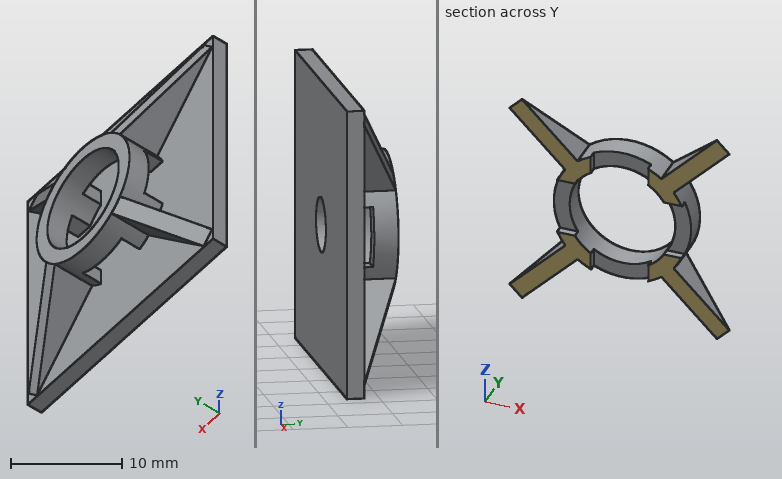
import cadquery as cq
import math

side = 26.5
depth = 5.9
plate_thickness = 1.6
hole_diameter = 5.0
collar_diameter = 13.28
bore_diameter = 10.2
window_width = 5.5
window_depth = 2.1
rib_thickness = 1.72
rib_reach = 17.7

collar_height = depth - plate_thickness
collar_radius = collar_diameter / 2
half_rib = rib_thickness / 2


def cylinder_along_y(diameter, start, length):
    plane = cq.Workplane("XZ", origin=(0, start, 0))
    return plane.circle(diameter / 2).extrude(-length)


def corner_rib(angle):
    """Tapered rib along a diagonal, from inside the collar to just inside a plate corner."""
    shoulder = math.sqrt(collar_radius**2 - half_rib**2)
    root = (bore_diameter + collar_diameter) / 4
    profile = [
        (root, plate_thickness),
        (rib_reach, plate_thickness),
        (shoulder, depth),
        (root, depth),
    ]
    rib = cq.Workplane("XY").polyline(profile).close().extrude(half_rib, both=True)
    return rib.rotate((0, 0, 0), (0, 1, 0), angle)


plate = cq.Workplane("XZ").rect(side, side).extrude(-plate_thickness)
result = plate.union(cylinder_along_y(collar_diameter, plate_thickness, collar_height))
for angle in (45, 135, 225, 315):
    result = result.union(corner_rib(angle))

result = result.cut(cylinder_along_y(hole_diameter, 0, depth))
result = result.cut(cylinder_along_y(bore_diameter, plate_thickness, collar_height))

window_y = plate_thickness + window_depth / 2
for window_size in ((side, window_depth, window_width), (window_width, window_depth, side)):
    window = cq.Workplane("XY").box(*window_size).translate((0, window_y, 0))
    result = result.cut(window)